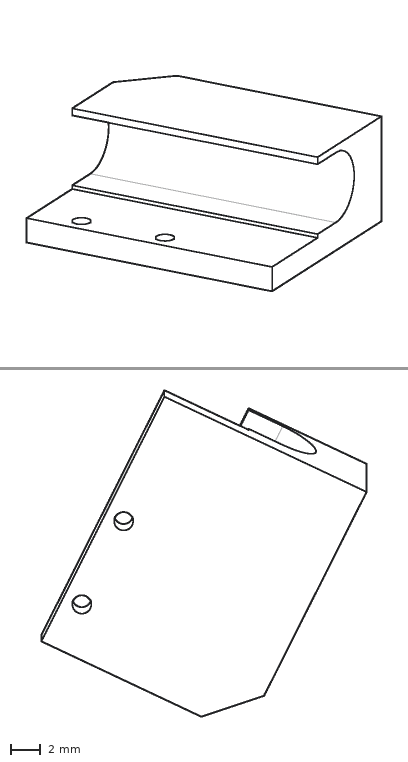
import cadquery as cq

length = 19.05
depth = 15.24
height = 7.62

ledge_depth = 6.35
ledge_height = 1.77

channel_radius = 2.53
channel_floor = 2.04
channel_back = 11.43
channel_center_y = channel_back - channel_radius
channel_center_z = channel_floor + channel_radius
channel_top = channel_floor + 2 * channel_radius

corner_chamfer = 3.18

hole_diameter = 1.28
hole_y = 1.33
first_hole_x = 3.52
hole_spacing = 6.48


def make_body():
    """Extrude the C-shaped side profile along X."""
    return (
        cq.Workplane("YZ")
        .moveTo(0, 0)
        .lineTo(depth, 0)
        .lineTo(depth, height)
        .lineTo(ledge_depth, height)
        .lineTo(ledge_depth, channel_top)
        .lineTo(channel_center_y, channel_top)
        .threePointArc((channel_back, channel_center_z), (channel_center_y, channel_floor))
        .lineTo(ledge_depth, channel_floor)
        .lineTo(ledge_depth, ledge_height)
        .lineTo(0, ledge_height)
        .close()
        .extrude(length)
    )


def make_corner_cutter():
    """Triangular prism that removes the rear left corner."""
    return (
        cq.Workplane("XY")
        .moveTo(0, depth)
        .lineTo(corner_chamfer, depth)
        .lineTo(0, depth - corner_chamfer)
        .close()
        .extrude(height)
    )


def make_hole_cutters():
    """Vertical cylinders through the ledge."""
    centers = [(first_hole_x + i * hole_spacing, hole_y) for i in range(2)]
    return (
        cq.Workplane("XY")
        .pushPoints(centers)
        .circle(hole_diameter / 2)
        .extrude(ledge_height)
    )


result = make_body().cut(make_corner_cutter()).cut(make_hole_cutters())